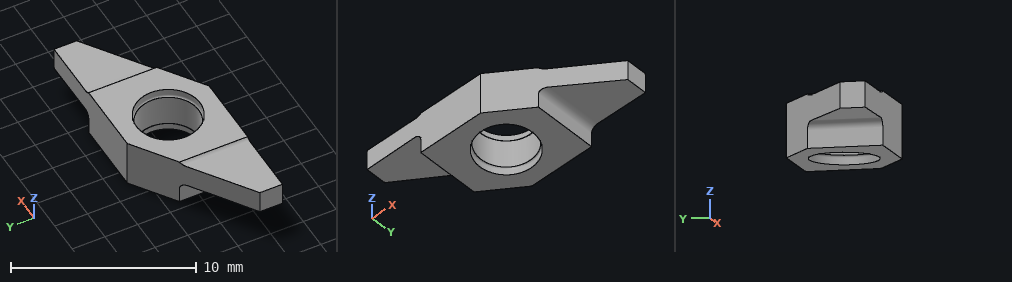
import cadquery as cq
import math

length = 15.0
width = 6.0
height = 3.0

tip_width = 1.4
flank_angle = 35.0

core_half_length = 3.51
top_step = 0.15
top_step_run = 0.36
underside_root_z = 1.44
underside_tip_z = 1.4
root_radius = 0.45

hole_diameter = 3.72
recess_diameter = 3.88
recess_depth = 0.38
blend_depth = 0.14

half_length = length / 2
half_width = width / 2


def make_plan():
    """Full-height prism with the six-sided plan outline."""
    tip_y = half_width - tip_width
    flank_run = (width - tip_width) / math.tan(math.radians(flank_angle))
    corner_x = half_length - flank_run
    outline = [
        (-half_length, -half_width),
        (corner_x, -half_width),
        (half_length, tip_y),
        (half_length, half_width),
        (-corner_x, half_width),
        (-half_length, -tip_y),
    ]
    return cq.Workplane("XY").polyline(outline).close().extrude(height)


def make_upper_cut():
    """Shallow step above the +X tip, ending in a concave rise to the core."""
    tip_top_z = height - top_step
    radius = (top_step_run**2 + top_step**2) / (2 * top_step)
    half_sweep = math.asin(top_step_run / radius) / 2
    step_end_x = core_half_length + top_step_run
    arc_middle = (
        step_end_x - radius * math.sin(half_sweep),
        tip_top_z + radius * (1 - math.cos(half_sweep)),
    )
    return (
        cq.Workplane("XZ")
        .moveTo(core_half_length, height)
        .threePointArc(arc_middle, (step_end_x, tip_top_z))
        .lineTo(half_length, tip_top_z)
        .lineTo(half_length, height)
        .close()
        .extrude(half_width, both=True)
    )


def make_lower_cut():
    """Deep relief below the +X tip, rounded where it meets the core."""
    arc_offset = root_radius * (1 - math.sqrt(0.5))
    return (
        cq.Workplane("XZ")
        .moveTo(core_half_length, 0)
        .lineTo(core_half_length, underside_root_z - root_radius)
        .threePointArc(
            (core_half_length + arc_offset, underside_root_z - arc_offset),
            (core_half_length + root_radius, underside_root_z),
        )
        .lineTo(half_length, underside_tip_z)
        .lineTo(half_length, 0)
        .close()
        .extrude(half_width, both=True)
    )


def make_hole():
    """Through hole revolved about Z, with the same recess at both ends."""
    hole_radius = hole_diameter / 2
    recess_radius = recess_diameter / 2
    hole_start = recess_depth + blend_depth
    shoulder = recess_radius - hole_radius
    blend_radius = (shoulder**2 + blend_depth**2) / (2 * shoulder)
    half_sweep = math.asin(blend_depth / blend_radius) / 2
    middle_x = recess_radius - blend_radius * (1 - math.cos(half_sweep))
    middle_z = recess_depth + blend_radius * math.sin(half_sweep)
    profile = (
        cq.Workplane("XZ")
        .moveTo(0, 0)
        .lineTo(recess_radius, 0)
        .lineTo(recess_radius, recess_depth)
        .threePointArc((middle_x, middle_z), (hole_radius, hole_start))
        .lineTo(hole_radius, height - hole_start)
        .threePointArc((middle_x, height - middle_z), (recess_radius, height - recess_depth))
        .lineTo(recess_radius, height)
        .lineTo(0, height)
        .close()
    )
    return profile.revolve(360, (0, 0), (0, 1))


result = make_plan()
tip_cuts = make_upper_cut().union(make_lower_cut())
for turn in (0, 180):
    result = result.cut(tip_cuts.rotate((0, 0, 0), (0, 0, 1), turn))
result = result.cut(make_hole())